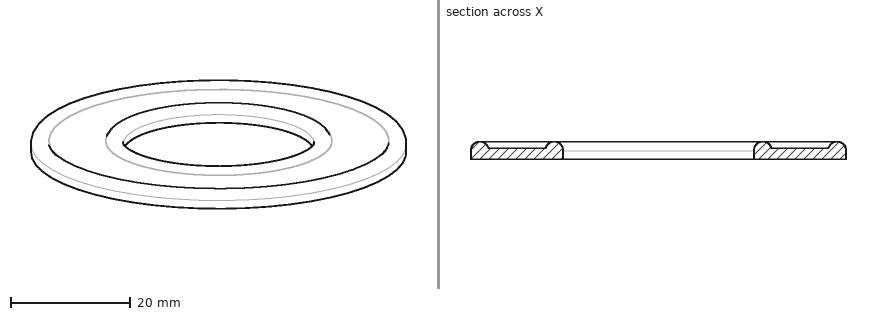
import math

import cadquery as cq

OUTER_DIAMETER = 63.0
BORE_DIAMETER = 32.0
EDGE_HEIGHT = 1.5
BEAD_RADIUS = 1.51
PLATE_THICKNESS = 1.92
FOOT_FILLET_RADIUS = 0.1

OUTER_RADIUS = OUTER_DIAMETER / 2
BORE_RADIUS = BORE_DIAMETER / 2

BEAD_CENTER_X = BEAD_RADIUS
BEAD_CENTER_Z = EDGE_HEIGHT
CROWN_HEIGHT = BEAD_CENTER_Z + BEAD_RADIUS

FILLET_CENTER_Z = PLATE_THICKNESS + FOOT_FILLET_RADIUS
CENTER_DISTANCE = BEAD_RADIUS + FOOT_FILLET_RADIUS
CONTACT_ANGLE = math.asin((FILLET_CENTER_Z - BEAD_CENTER_Z) / CENTER_DISTANCE)
FILLET_CENTER_X = BEAD_CENTER_X + CENTER_DISTANCE * math.cos(CONTACT_ANGLE)
CONTACT_X = BEAD_CENTER_X + BEAD_RADIUS * math.cos(CONTACT_ANGLE)
CONTACT_Z = BEAD_CENTER_Z + BEAD_RADIUS * math.sin(CONTACT_ANGLE)

FILLET_MIDDLE_ANGLE = (CONTACT_ANGLE + math.pi / 2) / 2
FILLET_MIDDLE_X = FILLET_CENTER_X - FOOT_FILLET_RADIUS * math.cos(FILLET_MIDDLE_ANGLE)
FILLET_MIDDLE_Z = FILLET_CENTER_Z - FOOT_FILLET_RADIUS * math.sin(FILLET_MIDDLE_ANGLE)


def ring_profile():
    """Radial half-section: flat base, with a rounded bead along each edge."""

    def from_rim(x, z):
        return (OUTER_RADIUS - x, z)

    def from_bore(x, z):
        return (BORE_RADIUS + x, z)

    crown = (BEAD_CENTER_X, CROWN_HEIGHT)
    contact = (CONTACT_X, CONTACT_Z)
    fillet_middle = (FILLET_MIDDLE_X, FILLET_MIDDLE_Z)
    foot = (FILLET_CENTER_X, PLATE_THICKNESS)
    return (
        cq.Workplane("XZ")
        .moveTo(BORE_RADIUS, 0)
        .lineTo(OUTER_RADIUS, 0)
        .lineTo(OUTER_RADIUS, EDGE_HEIGHT)
        .threePointArc(from_rim(*crown), from_rim(*contact))
        .threePointArc(from_rim(*fillet_middle), from_rim(*foot))
        .lineTo(*from_bore(*foot))
        .threePointArc(from_bore(*fillet_middle), from_bore(*contact))
        .threePointArc(from_bore(*crown), (BORE_RADIUS, EDGE_HEIGHT))
        .close()
    )


result = ring_profile().revolve(360, (0, 0, 0), (0, 1, 0))